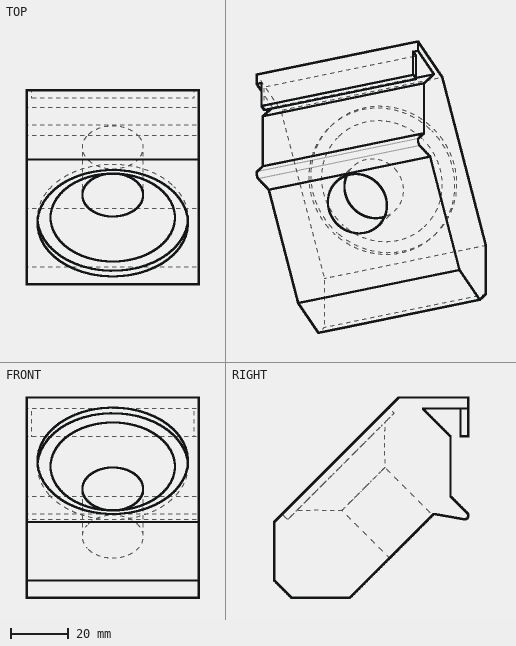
import cadquery as cq
import math

width = 59.5
depth = 67.07
height = 69.24

slope_run = 43.0
toe_chamfer = 6.05
underside_end = 26.1
plate_thickness = 3.9
back_inset = 6.1
back_top = 55.7
back_bottom = 35.05

hook_tip_radius = 1.3
hook_underside_angle = math.radians(10)

lip_thickness = 2.8
lip_drop = 9.55
lip_end_inset = 1.75

rim_diameter = 52.0
rim_depth = 2.75
cone_diameter = 43.0
bore_diameter = 21.0
cone_depth = (cone_diameter - bore_diameter) / 2
bore_center_drop = 21.9

slope_top_y = slope_run
plate_bottom = height - plate_thickness
back_y = depth - back_inset
diagonal = math.sqrt(0.5)


def make_block():
    """Extrude the side outline, hook included, across the full width."""
    plate_root_y = back_y - (plate_bottom - back_top)

    tip_y = depth - hook_tip_radius
    tip_z = back_bottom - (tip_y - back_y) - hook_tip_radius / diagonal
    arc_start = (tip_y + hook_tip_radius * diagonal, tip_z + hook_tip_radius * diagonal)
    arc_middle = (tip_y + hook_tip_radius * diagonal, tip_z - hook_tip_radius * diagonal)
    arc_end = (
        tip_y - hook_tip_radius * math.sin(hook_underside_angle),
        tip_z - hook_tip_radius * math.cos(hook_underside_angle),
    )

    rise = math.tan(hook_underside_angle)
    root_y = (arc_end[1] + rise * arc_end[0] + underside_end) / (1 + rise)
    root_z = root_y - underside_end

    return (
        cq.Workplane("YZ")
        .moveTo(toe_chamfer, 0)
        .lineTo(0, toe_chamfer)
        .lineTo(0, height - slope_run)
        .lineTo(slope_top_y, height)
        .lineTo(depth, height)
        .lineTo(depth, plate_bottom)
        .lineTo(plate_root_y, plate_bottom)
        .lineTo(back_y, back_top)
        .lineTo(back_y, back_bottom)
        .lineTo(*arc_start)
        .threePointArc(arc_middle, arc_end)
        .lineTo(root_y, root_z)
        .lineTo(underside_end, 0)
        .close()
        .extrude(width / 2, both=True)
    )


def make_lip():
    """Bar under the rear edge of the top plate."""
    return cq.Workplane("XY").box(
        width - 2 * lip_end_inset, lip_thickness, lip_drop, centered=(True, False, False)
    ).translate((0, depth - lip_thickness, plate_bottom - lip_drop))


def make_bore():
    """Revolved cutter: shallow rim recess, cone, then a bore through the rear slope."""
    bore_end = depth
    cone_end = rim_depth + cone_depth
    slope_plane = cq.Plane(
        origin=(0, slope_top_y - bore_center_drop, height - bore_center_drop),
        xDir=(1, 0, 0),
        normal=(0, -1, 1),
    )
    section_plane = slope_plane.rotated((90, 0, 0))
    return (
        cq.Workplane(section_plane)
        .moveTo(0, 0)
        .lineTo(rim_diameter / 2, 0)
        .lineTo(rim_diameter / 2, -rim_depth)
        .lineTo(cone_diameter / 2, -rim_depth)
        .lineTo(bore_diameter / 2, -cone_end)
        .lineTo(bore_diameter / 2, -bore_end)
        .lineTo(0, -bore_end)
        .close()
        .revolve(360, (0, 0, 0), (0, 1, 0))
    )


result = make_block().union(make_lip()).cut(make_bore())